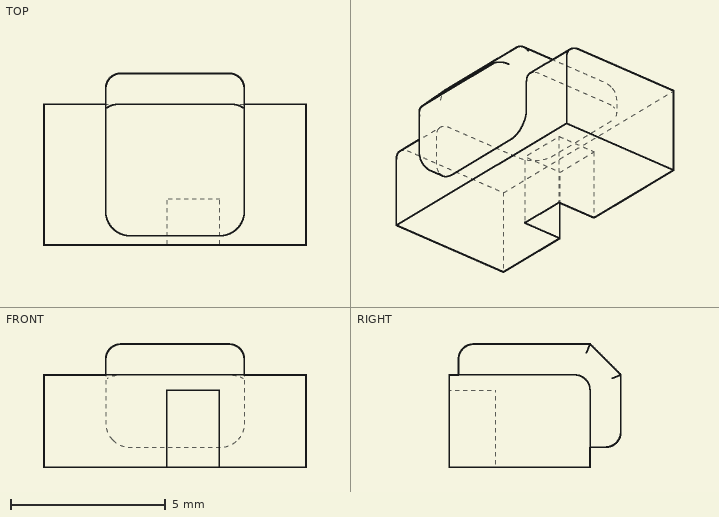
import cadquery as cq

base_width = 8.5
base_depth = 4.57
base_height = 3.0
base_edge_radius = 0.5

cap_width = 4.5
cap_rise = 1.0
cap_rear_overhang = 1.0
cap_front_setback = 0.3
cap_bottom = 0.65
cap_chamfer = 1.0
cap_corner_radius = 0.8
cap_edge_radius = 0.5

notch_left_offset = 3.98
notch_width = 1.7
notch_height = 2.5
notch_depth = 1.5

cap_top = base_height + cap_rise
cap_rear = base_depth + cap_rear_overhang


def make_base():
    """Plain block with its upper rear edge rounded."""
    block = cq.Workplane("XY").box(base_width, base_depth, base_height, centered=(True, False, False))
    return block.edges(">Y and >Z").fillet(base_edge_radius)


def make_cap():
    """Side profile with a chamfered upper rear corner, rounded at its ends and outer rim."""
    cap = (
        cq.Workplane("YZ")
        .moveTo(cap_front_setback, cap_bottom)
        .lineTo(cap_rear, cap_bottom)
        .lineTo(cap_rear, cap_top - cap_chamfer)
        .lineTo(cap_rear - cap_chamfer, cap_top)
        .lineTo(cap_front_setback, cap_top)
        .close()
        .extrude(cap_width / 2, both=True)
    )
    cap = cap.edges("|Z and <Y").fillet(cap_corner_radius)
    cap = cap.edges("|Y and <Z").fillet(cap_corner_radius)
    rim = cap.faces(">Z or >Y").edges("not(|X)")
    rim = rim.add(cap.faces(">Z").edges("|X and <Y"))
    rim = rim.add(cap.faces(">Y").edges("|X and <Z"))
    slope_middle = cq.selectors.NearestToPointSelector(
        (0, cap_rear - cap_chamfer / 2, cap_top - cap_chamfer / 2)
    )
    rim = rim.add(cap.faces(slope_middle).edges("not(|X)"))
    return rim.fillet(cap_edge_radius)


def make_notch():
    """Rectangular cutter for the front notch."""
    notch_left = notch_left_offset - base_width / 2
    return (
        cq.Workplane("XY")
        .box(notch_width, notch_depth, notch_height, centered=False)
        .translate((notch_left, 0, 0))
    )


result = make_base().union(make_cap()).cut(make_notch())